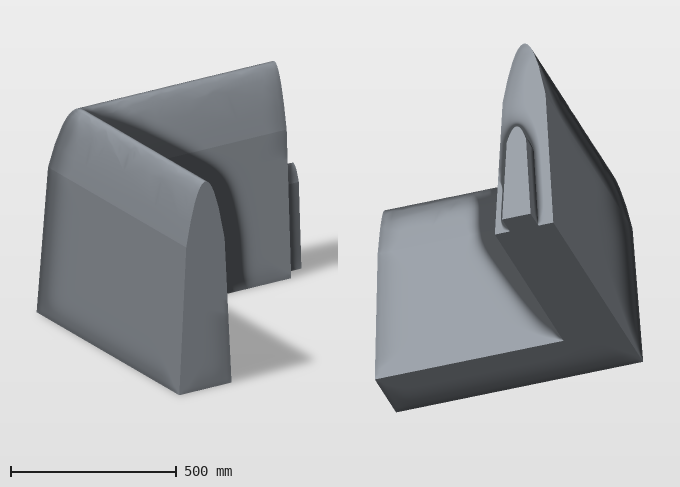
import cadquery as cq

leg_length = 793.0
base_width = 188.0
shoulder_width = 138.0
shoulder_height = 475.0
wall_height = 675.0

overall_length = 861.0
tongue_length = overall_length - leg_length
tongue_base_width = 91.0
tongue_shoulder_width = 62.0
tongue_shoulder_height = 277.0
tongue_height = 329.0

center_line = base_width / 2


def crowned_bar(plane, base, shoulder, shoulder_z, top_z, length):
    """Extrude a tapered section with a smoothly curved crown."""
    return (
        cq.Workplane(plane)
        .moveTo(-base / 2, 0)
        .lineTo(base / 2, 0)
        .lineTo(shoulder / 2, shoulder_z)
        .spline([(0, top_z), (-shoulder / 2, shoulder_z)], includeCurrent=True)
        .close()
        .extrude(length)
    )


def wall_leg(plane):
    return crowned_bar(plane, base_width, shoulder_width, shoulder_height, wall_height, leg_length)


def mitre_half(far_corner):
    """Vertical prism on one side of the diagonal plane through the corner."""
    return (
        cq.Workplane("XY")
        .polyline([(0, 0), (leg_length, leg_length), far_corner])
        .close()
        .extrude(wall_height)
    )


x_leg_plane = cq.Plane(origin=(0, center_line, 0), xDir=(0, 1, 0), normal=(1, 0, 0))
y_leg_plane = cq.Plane(origin=(center_line, 0, 0), xDir=(-1, 0, 0), normal=(0, 1, 0))
x_leg = wall_leg(x_leg_plane).intersect(mitre_half((leg_length, 0)))
y_leg = wall_leg(y_leg_plane).intersect(mitre_half((0, leg_length)))

tongue_plane = cq.Plane(origin=(center_line, leg_length, 0), xDir=(-1, 0, 0), normal=(0, 1, 0))
tongue = crowned_bar(
    tongue_plane,
    tongue_base_width,
    tongue_shoulder_width,
    tongue_shoulder_height,
    tongue_height,
    tongue_length,
)

result = x_leg.union(y_leg).union(tongue)